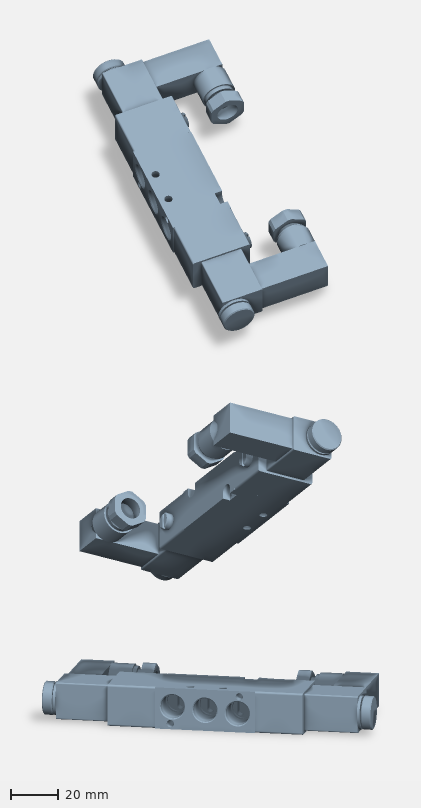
import cadquery as cq
import math


OVERALL_LENGTH = 142.6
OVERALL_DEPTH = 55.0
HEIGHT = 18.0
HALF_LENGTH = OVERALL_LENGTH / 2

BODY_LENGTH = 43.4
BODY_DEPTH = 26.8
PORT_PITCH = 14.1
PORT_OFFSET_Z = 0.9
PORT_DIAMETER = 10.3
PORT_CHAMFER = 0.4
PORT_DEPTH = 11.4
PORT_STEP_DIAMETER = 9.1
PORT_STEP_DEPTH = 1.4
SLOT_PITCH = 13.0
SLOT_HEIGHT = 7.5
SLOT_WIDTH = 3.0
SLOT_DEPTH = 4.3
MOUNT_X = 15.0
MOUNT_Z = 6.5
MOUNT_DIAMETER = 3.1
HEAD_POCKET_WIDTH = 6.0
HEAD_POCKET_DEPTH = 3.4
CROSS_HOLE_X = 7.0
CROSS_HOLE_Y = 4.1
CROSS_HOLE_DIAMETER = 3.4

COVER_LENGTH = 20.7
COVER_SETBACK = 0.4
COVER_FILLET = 0.9
SCREW_DIAMETER = 7.1
SCREW_HEIGHT = 3.0
SCREW_CHAMFER = 0.4
SCREW_X = -34.1
SCREW_SLOT_WIDTH = 1.1
SCREW_SLOT_DEPTH = 1.0

COIL_LENGTH = 23.1
COIL_FRONT_Y = 4.3
COIL_DEPTH = 18.5
COIL_HEIGHT = 16.0
COIL_FILLET = 0.5

KNOB_DIAMETER = 14.4
KNOB_THICKNESS = 4.3
KNOB_CHAMFER = 0.4
KNOB_NECK_DIAMETER = 9.7
KNOB_FLANGE_THICKNESS = 1.1
KNOB_Y = 9.5

PLUG_WIDTH = 14.3
PLUG_HEIGHT = 14.3
PLUG_SETBACK = 0.9
PLUG_BACK_Y = 53.3
BARREL_DIAMETER = 15.0
BARREL_LENGTH = 10.0
COLLAR_DIAMETER = 13.3
COLLAR_LENGTH = 1.7
NECK_DIAMETER = 10.5
NECK_LENGTH = 2.0
NUT_LENGTH = 5.7
NUT_ACROSS_FLATS = 15.0
NUT_ACROSS_CORNERS = 16.3
NUT_BORE = 9.4
TAPER_LENGTH = 3.7

COVER_INNER_X = -BODY_LENGTH / 2
COVER_OUTER_X = COVER_INNER_X - COVER_LENGTH
COIL_OUTER_X = COVER_OUTER_X - COIL_LENGTH
COIL_BACK_Y = COIL_FRONT_Y + COIL_DEPTH
PLUG_OUTER_X = COIL_OUTER_X + PLUG_SETBACK
PLUG_INNER_X = PLUG_OUTER_X + PLUG_WIDTH
BARREL_Y = OVERALL_DEPTH - BARREL_DIAMETER / 2


def box(x_min, x_max, y_min, y_max, height):
    """Box between the given X and Y limits, centred on Z = 0."""
    return (
        cq.Workplane("XY")
        .box(x_max - x_min, y_max - y_min, height, centered=(False, False, True))
        .translate((x_min, y_min, 0))
    )


def disc_x(x_start, length, diameter, y):
    """Cylinder along +X from x_start, with its axis at the given Y."""
    return cq.Workplane("YZ", origin=(x_start, y, 0)).circle(diameter / 2).extrude(length)


def drill_y(x, z, diameter, depth):
    """Cylinder going into the part from the port face."""
    return cq.Workplane("XZ", origin=(x, 0, z)).circle(diameter / 2).extrude(-depth)


def port(side):
    """Stepped blind port with an obround passage in its floor; side is -1, 0 or 1."""
    x = side * PORT_PITCH
    z = -side * PORT_OFFSET_Z
    floor_y = PORT_DEPTH + PORT_STEP_DEPTH
    bore = drill_y(x, z, PORT_DIAMETER, PORT_DEPTH)
    step = drill_y(x, z, PORT_STEP_DIAMETER, floor_y)
    mouth = (
        cq.Workplane("XZ", origin=(x, 0, z))
        .circle(PORT_DIAMETER / 2 + PORT_CHAMFER)
        .workplane(offset=-PORT_CHAMFER)
        .circle(PORT_DIAMETER / 2)
        .loft()
    )
    passage = (
        cq.Workplane("XZ", origin=(side * SLOT_PITCH, floor_y, z))
        .slot2D(SLOT_HEIGHT, SLOT_WIDTH, 90)
        .extrude(-SLOT_DEPTH)
    )
    return bore.union(step).union(mouth).union(passage)


def mounting_hole(side):
    """Through hole with a screw-head pocket in the back, open to the nearer Z face."""
    x = side * MOUNT_X
    z = side * MOUNT_Z
    pocket_start_y = BODY_DEPTH - HEAD_POCKET_DEPTH
    hole = drill_y(x, z, MOUNT_DIAMETER, BODY_DEPTH)
    round_end = drill_y(x, z, HEAD_POCKET_WIDTH, HEAD_POCKET_DEPTH).translate((0, pocket_start_y, 0))
    open_end = box(
        x - HEAD_POCKET_WIDTH / 2, x + HEAD_POCKET_WIDTH / 2, pocket_start_y, BODY_DEPTH, HEIGHT
    ).translate((0, 0, z + side * HEIGHT / 2))
    return hole.union(round_end).union(open_end)


def make_valve_body():
    body = box(-BODY_LENGTH / 2, BODY_LENGTH / 2, 0, BODY_DEPTH, HEIGHT)
    for side in (-1, 0, 1):
        body = body.cut(port(side))
    for side in (-1, 1):
        body = body.cut(mounting_hole(side))
    cross_holes = (
        cq.Workplane("XY", origin=(0, CROSS_HOLE_Y, -HEIGHT / 2))
        .pushPoints([(-CROSS_HOLE_X, 0), (CROSS_HOLE_X, 0)])
        .circle(CROSS_HOLE_DIAMETER / 2)
        .extrude(HEIGHT)
    )
    return body.cut(cross_holes)


def make_pilot_cover():
    """Left pilot cover with its slotted manual-override screw."""
    cover = box(COVER_OUTER_X, COVER_INNER_X, COVER_SETBACK, BODY_DEPTH, HEIGHT)
    cover = cover.edges("|X").fillet(COVER_FILLET)
    screw = (
        cq.Workplane("XZ", origin=(SCREW_X, BODY_DEPTH, 0))
        .circle(SCREW_DIAMETER / 2)
        .extrude(-SCREW_HEIGHT)
        .faces(">Y")
        .chamfer(SCREW_CHAMFER)
    )
    screw_top_y = BODY_DEPTH + SCREW_HEIGHT
    screw_slot = box(
        SCREW_X - SCREW_SLOT_WIDTH / 2,
        SCREW_X + SCREW_SLOT_WIDTH / 2,
        screw_top_y - SCREW_SLOT_DEPTH,
        screw_top_y,
        SCREW_DIAMETER,
    )
    return cover.union(screw.cut(screw_slot))


def make_knob():
    """Retaining knob: chamfered head, narrow neck and a flange against the coil."""
    head = disc_x(-HALF_LENGTH, KNOB_THICKNESS, KNOB_DIAMETER, KNOB_Y)
    head = head.faces("<X or >X").chamfer(KNOB_CHAMFER)
    neck = disc_x(-HALF_LENGTH, COIL_OUTER_X + HALF_LENGTH, KNOB_NECK_DIAMETER, KNOB_Y)
    flange_x = COIL_OUTER_X - KNOB_FLANGE_THICKNESS
    flange = disc_x(flange_x, KNOB_FLANGE_THICKNESS, KNOB_DIAMETER, KNOB_Y)
    return head.union(neck).union(flange)


def make_nut(x_start):
    """Hexagonal gland nut with a flat trimming each corner, two flats facing +/-Y."""
    def hexagon(across, turn):
        prism = cq.Workplane("YZ").polygon(6, across / math.cos(math.pi / 6)).extrude(NUT_LENGTH)
        return prism.rotate((0, 0, 0), (1, 0, 0), turn)

    nut = hexagon(NUT_ACROSS_FLATS, 30).intersect(hexagon(NUT_ACROSS_CORNERS, 0))
    return nut.translate((x_start, BARREL_Y, 0))


def make_barrel_end():
    """Tapered end of the barrel that stands out behind the plug housing."""
    tip_diameter = BARREL_DIAMETER - 2 * (OVERALL_DEPTH - PLUG_BACK_Y)
    cone = (
        cq.Workplane("YZ", origin=(PLUG_INNER_X, BARREL_Y, 0))
        .circle(BARREL_DIAMETER / 2)
        .workplane(offset=-TAPER_LENGTH)
        .circle(tip_diameter / 2)
        .loft()
    )
    return cone.intersect(box(PLUG_OUTER_X, PLUG_INNER_X, BARREL_Y, OVERALL_DEPTH, PLUG_HEIGHT))


def make_plug():
    """Plug housing behind the coil, with the cable barrel, gland and nut pointing inward."""
    collar_x = PLUG_INNER_X + BARREL_LENGTH
    neck_x = collar_x + COLLAR_LENGTH
    nut_x = neck_x + NECK_LENGTH
    plug = box(PLUG_OUTER_X, PLUG_INNER_X, COIL_BACK_Y, PLUG_BACK_Y, PLUG_HEIGHT)
    plug = plug.union(make_barrel_end())
    plug = plug.union(disc_x(PLUG_INNER_X, BARREL_LENGTH, BARREL_DIAMETER, BARREL_Y))
    plug = plug.union(disc_x(collar_x, COLLAR_LENGTH, COLLAR_DIAMETER, BARREL_Y))
    plug = plug.union(disc_x(neck_x, NECK_LENGTH, NECK_DIAMETER, BARREL_Y))
    plug = plug.union(make_nut(nut_x))
    return plug.cut(disc_x(nut_x, NUT_LENGTH, NUT_BORE, BARREL_Y))


def make_solenoid():
    """Left solenoid: coil block with its retaining knob and plug connector."""
    coil = box(COIL_OUTER_X, COVER_OUTER_X, COIL_FRONT_Y, COIL_BACK_Y, COIL_HEIGHT)
    coil = coil.edges("|X").fillet(COIL_FILLET)
    return coil.union(make_knob()).union(make_plug())


valve_body = make_valve_body()
pilot_cover = make_pilot_cover()
solenoid = make_solenoid()

bodies = [valve_body.val()]
for left_body in (pilot_cover, solenoid):
    bodies.append(left_body.val())
    bodies.append(left_body.mirror("YZ").val())

result = cq.Compound.makeCompound(bodies)